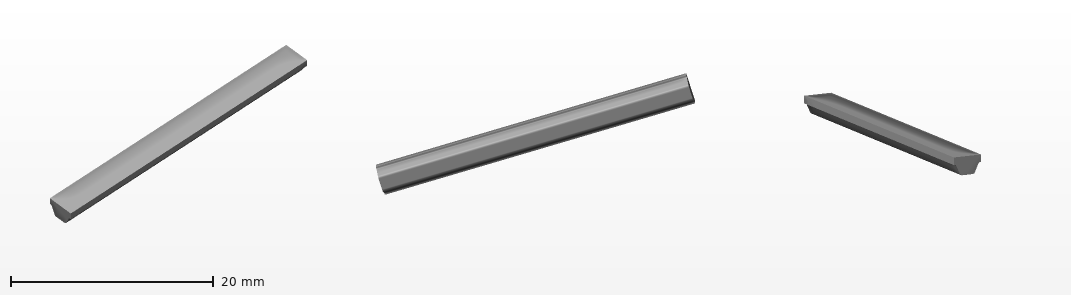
import cadquery as cq

length = 32.0
width = 3.0
height = 1.9

backing_thickness = 0.77
root_width = 2.55
tip_width = 1.55
root_radius = 0.15
tip_radius = 0.3

top_z = height / 2
shoulder_z = top_z - backing_thickness
tip_z = -height / 2

profile = [
    (-width / 2, top_z),
    (width / 2, top_z),
    (width / 2, shoulder_z),
    (root_width / 2, shoulder_z),
    (tip_width / 2, tip_z),
    (-tip_width / 2, tip_z),
    (-root_width / 2, shoulder_z),
    (-width / 2, shoulder_z),
]

strip = cq.Workplane("XZ").polyline(profile).close().extrude(length / 2, both=True)

strip = strip.edges("|Y").edges("<Z").fillet(tip_radius)

root_corners = [(side * root_width / 2, 0, shoulder_z) for side in (-1, 1)]
for corner in root_corners:
    strip = strip.edges(cq.NearestToPointSelector(corner)).fillet(root_radius)

result = strip